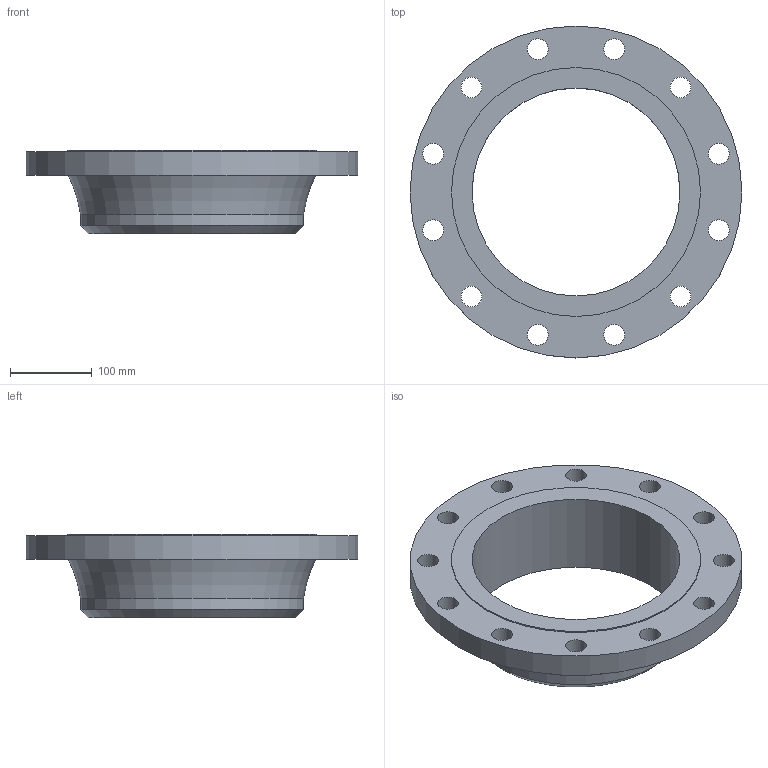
import cadquery as cq

flange_diameter = 406.4
flange_thickness = 28.6

overall_height = 101.66
raised_face_diameter = 304.8
raised_face_height = 1.6

hub_diameter = 303.0
pipe_diameter = 273.05
bore_diameter = 254.51
neck_straight_length = 13.5
neck_hollow = 2.0

bevel_height = 10.0

bolt_count = 12
bolt_hole_diameter = 25.4
bolt_circle_diameter = 361.95
bolt_pitch_angle = 360 / bolt_count

flange_top = overall_height - raised_face_height
flange_bottom = flange_top - flange_thickness
taper_bottom = bevel_height + neck_straight_length


def make_body():
    """Revolve the half section of the flange, neck and bore about Z."""
    bore_radius = bore_diameter / 2
    pipe_radius = pipe_diameter / 2
    hub_radius = hub_diameter / 2
    flange_radius = flange_diameter / 2
    raised_face_radius = raised_face_diameter / 2
    taper_middle = (
        (pipe_radius + hub_radius) / 2 - neck_hollow,
        (taper_bottom + flange_bottom) / 2,
    )
    section = (
        cq.Workplane("XZ")
        .moveTo(bore_radius, 0)
        .lineTo(pipe_radius, bevel_height)
        .lineTo(pipe_radius, taper_bottom)
        .threePointArc(taper_middle, (hub_radius, flange_bottom))
        .lineTo(flange_radius, flange_bottom)
        .lineTo(flange_radius, flange_top)
        .lineTo(raised_face_radius, flange_top)
        .lineTo(raised_face_radius, overall_height)
        .lineTo(bore_radius, overall_height)
        .close()
    )
    return section.revolve(360, (0, 0, 0), (0, 1, 0))


def make_bolt_holes():
    """Cutters for the bolt holes through the flange plate."""
    return (
        cq.Workplane("XY")
        .workplane(offset=flange_bottom)
        .polarArray(bolt_circle_diameter / 2, bolt_pitch_angle / 2, 360, bolt_count)
        .circle(bolt_hole_diameter / 2)
        .extrude(flange_thickness)
    )


result = make_body().cut(make_bolt_holes())